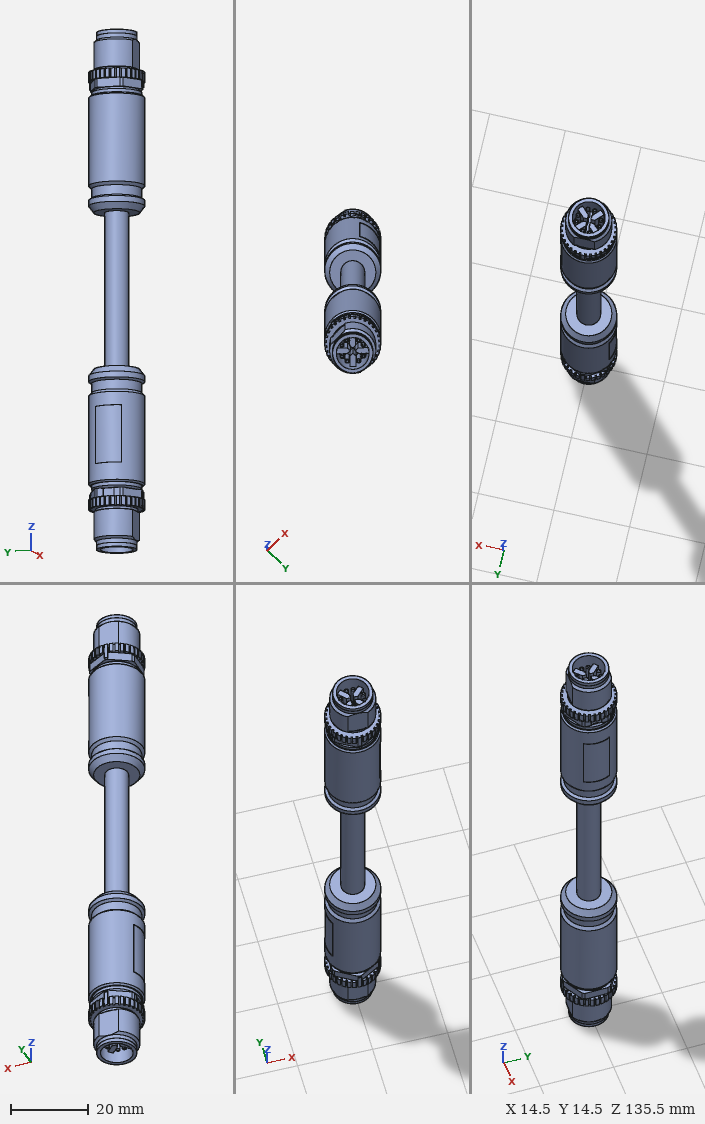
import cadquery as cq
import math

overall_length = 135.5
plug_length = 47.2
cable_diameter = 6.2
half_length = overall_length / 2

tip_diameter = 10.4
front_diameter = 10.5
barrel_diameter = 11.9
shoulder_diameter = 11.0
knurl_diameter = 14.5
groove_diameter = 11.8
neck_diameter = 13.0
sleeve_diameter = 14.5
tail_diameter = 11.9

tip_step = 1.0
barrel_chamfer_start = 2.1
barrel_chamfer_end = 2.7
barrel_end = 9.8
knurl_start = 10.5
knurl_end = 12.9
hex_end = 15.2
neck_start = 15.8
sleeve_start = 16.7
sleeve_end = 41.0
collar_start = 43.5
collar_full = 44.0
collar_taper = 45.5
sleeve_front_chamfer = 0.45
sleeve_rear_chamfer = 0.8

barrel_flat_spacing = 10.6

tooth_count = 32
tooth_depth = 0.5
tooth_gap_width = 0.45

hex_across_flats = 12.6
hex_corner_diameter = 14.1
rib_width = 1.0
rib_start = 11.1
rib_end = 14.7
hex_groove_width = 2.9
hex_groove_depth = 0.15

label_width = 7.1
label_start = 21.7
label_end = 36.7
label_depth = 0.1

chamber_diameter = 8.4
chamber_depth = 9.0
contact_top = 3.0
shield_arm_width = 1.5
shield_gap_width = 0.9
pin_diameter = 1.15
pin_tip_diameter = 0.6
pin_half_pitch = 0.9
pin_row_offset = 3.0


def level(depth):
    """Height of a station lying the given depth below the upper mating tip."""
    return half_length - depth


def disc(diameter, start, end):
    """Cylinder about Z between two depths."""
    return cq.Workplane("XY").workplane(offset=level(end)).circle(diameter / 2).extrude(end - start)


def box(width, length, start, end):
    """Block centred on Z between two depths."""
    return cq.Workplane("XY").workplane(offset=level(end)).rect(width, length).extrude(end - start)


def revolve_profile(stations):
    """Solid of revolution through (diameter, depth) stations."""
    outline = [(diameter / 2, level(depth)) for diameter, depth in stations]
    first_depth = stations[0][1]
    last_depth = stations[-1][1]
    closed = [(0, level(first_depth))] + outline + [(0, level(last_depth))]
    return cq.Workplane("XZ").polyline(closed).close().revolve(360, (0, 0, 0), (0, 1, 0))


def make_front():
    """Mating front: stepped tip and a barrel with two opposite flats."""
    tip = revolve_profile([
        (tip_diameter, 0),
        (tip_diameter, tip_step),
        (front_diameter, tip_step),
        (front_diameter, knurl_start),
    ])
    barrel = revolve_profile([
        (front_diameter, barrel_chamfer_start),
        (barrel_diameter, barrel_chamfer_end),
        (barrel_diameter, barrel_end),
    ])
    flats = box(barrel_diameter, barrel_flat_spacing, barrel_chamfer_start, barrel_end)
    shoulder = disc(shoulder_diameter, barrel_end, knurl_start)
    return tip.union(barrel.intersect(flats)).union(shoulder)


def make_knurled_ring():
    """Grip ring with evenly spaced gaps between its teeth."""
    ring = disc(knurl_diameter, knurl_start, knurl_end)
    gaps = (
        cq.Workplane("XY")
        .workplane(offset=level(knurl_end))
        .polarArray(knurl_diameter / 2, 180 / tooth_count, 360, tooth_count)
        .rect(2 * tooth_depth, tooth_gap_width)
        .extrude(knurl_end - knurl_start)
    )
    return ring.cut(gaps)


def make_hexagon():
    """Hexagon with corners on Y, a groove on its +X face and a rib on each Y corner."""
    corner_distance = hex_across_flats / math.cos(math.pi / 6)
    hexagon = (
        cq.Workplane("XY")
        .workplane(offset=level(hex_end))
        .transformed(rotate=(0, 0, 90))
        .polygon(6, corner_distance)
        .extrude(hex_end - knurl_end)
        .intersect(disc(hex_corner_diameter, knurl_end, hex_end))
    )
    groove = box(2 * hex_groove_depth, hex_groove_width, knurl_end, hex_end)
    hexagon = hexagon.cut(groove.translate((hex_across_flats / 2, 0, 0)))
    ribs = box(rib_width, knurl_diameter, rib_start, rib_end)
    return hexagon.union(ribs.intersect(disc(knurl_diameter, rib_start, rib_end)))


def make_sleeve():
    """Grooved neck, long sleeve and tapered rear collar."""
    return revolve_profile([
        (groove_diameter, hex_end),
        (neck_diameter, neck_start),
        (neck_diameter, sleeve_start),
        (sleeve_diameter - 2 * sleeve_front_chamfer, sleeve_start),
        (sleeve_diameter, sleeve_start + sleeve_front_chamfer),
        (sleeve_diameter, sleeve_end - sleeve_rear_chamfer),
        (neck_diameter, sleeve_end),
        (neck_diameter, collar_start),
        (sleeve_diameter, collar_full),
        (sleeve_diameter, collar_taper),
        (tail_diameter, plug_length),
    ])


def make_label_recess():
    """Thin curved layer removed from the +X side of the sleeve."""
    layer = disc(sleeve_diameter, label_start, label_end)
    core = disc(sleeve_diameter - 2 * label_depth, label_start, label_end)
    window = box(sleeve_diameter, label_width, label_start, label_end)
    return layer.cut(core).intersect(window.translate((sleeve_diameter / 2, 0, 0)))


def make_pin(x, y):
    """Contact pin with a cone at its free end."""
    cone_height = (pin_diameter - pin_tip_diameter) / 2
    pin = disc(pin_diameter, contact_top, chamber_depth).faces(">Z").chamfer(cone_height)
    return pin.translate((x, y, 0))


def make_contacts():
    """Shield of four diagonal arms and a pair of pins in each of its four quadrants."""
    arm = box(chamber_diameter, shield_arm_width, contact_top, chamber_depth)
    arm = arm.intersect(disc(chamber_diameter, contact_top, chamber_depth))
    contacts = arm.rotate((0, 0, 0), (0, 0, 1), 45)
    contacts = contacts.union(arm.rotate((0, 0, 0), (0, 0, 1), -45))
    contacts = contacts.cut(box(chamber_diameter, shield_gap_width, contact_top, chamber_depth))
    contacts = contacts.cut(box(shield_gap_width, chamber_diameter, contact_top, chamber_depth))
    for side in (-1, 1):
        for row in (-1, 1):
            contacts = contacts.union(make_pin(side * pin_half_pitch, row * pin_row_offset))
            contacts = contacts.union(make_pin(row * pin_row_offset, side * pin_half_pitch))
    return contacts


def make_plug():
    """Complete upper plug, mating tip upwards."""
    plug = make_front().union(make_knurled_ring()).union(make_hexagon()).union(make_sleeve())
    plug = plug.cut(make_label_recess())
    plug = plug.cut(disc(chamber_diameter, 0, chamber_depth))
    return plug.union(make_contacts())


upper_plug = make_plug()
lower_plug = upper_plug.rotate((0, 0, 0), (0, 1, 0), 180)
cable = disc(cable_diameter, plug_length, overall_length - plug_length)
result = upper_plug.union(cable).union(lower_plug)